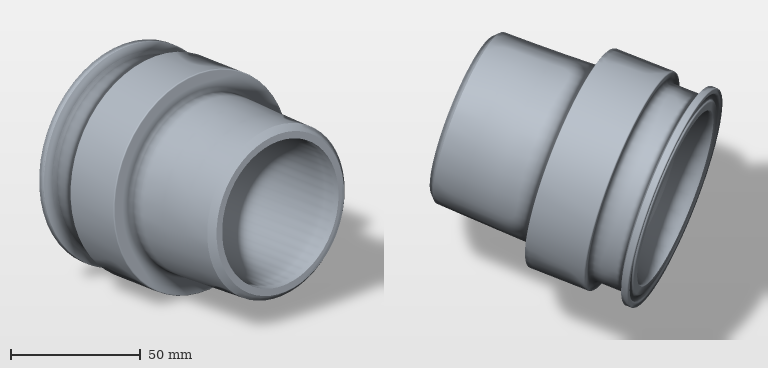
import cadquery as cq
import math

total_length = 88.9
collar_start = 18.1
collar_end = 43.5
taper_start = 48.9

outer_radius = 45.5
ferrule_neck_radius = 81.9 / 2
male_neck_radius = 73.5 / 2
bore_radius = 60.2 / 2
bore_mouth_radius = 36.5

rim_width = 2.8
flange_slope_angle = 20.0
flange_edge_round = 0.4
flange_root_round = 1.55

collar_edge_round = 0.5
collar_root_fillet = 1.55

taper_ratio = 1 / 16
end_chamfer = 2.55

cone_length = 12.3
cone_blend_radius = 5.9

groove_center_radius = 41.7
groove_half_width = 2.0
groove_depth = 1.1
groove_lip_round = 0.8

match_tolerance = 0.01


def revolve_about_x(profile):
    return profile.close().revolve(360, (0, 0, 0), (1, 0, 0))


def circle_edges(body, x, radius):
    """Circular edges of the given radius lying at the given X."""
    return body.edges("%CIRCLE").filter(
        lambda edge: abs(edge.Center().x - x) < match_tolerance
        and abs(edge.radius() - radius) < match_tolerance
    )


def outer_body():
    slope_drop = outer_radius - ferrule_neck_radius
    slope_end = rim_width + slope_drop * math.tan(math.radians(flange_slope_angle))
    chamfer_start = total_length - end_chamfer
    taper_end_radius = male_neck_radius - (chamfer_start - taper_start) * taper_ratio / 2
    body = revolve_about_x(
        cq.Workplane("XY")
        .lineTo(0, outer_radius)
        .lineTo(rim_width, outer_radius)
        .lineTo(slope_end, ferrule_neck_radius)
        .lineTo(collar_start, ferrule_neck_radius)
        .lineTo(collar_start, outer_radius)
        .lineTo(collar_end, outer_radius)
        .lineTo(collar_end, male_neck_radius)
        .lineTo(taper_start, male_neck_radius)
        .lineTo(chamfer_start, taper_end_radius)
        .lineTo(total_length, taper_end_radius - end_chamfer)
        .lineTo(total_length, 0)
    )
    rounds = [
        (0, outer_radius, flange_edge_round),
        (rim_width, outer_radius, flange_edge_round),
        (slope_end, ferrule_neck_radius, flange_root_round),
        (collar_start, ferrule_neck_radius, collar_root_fillet),
        (collar_start, outer_radius, collar_edge_round),
        (collar_end, outer_radius, collar_edge_round),
        (collar_end, male_neck_radius, collar_root_fillet),
    ]
    for x, radius, round_radius in rounds:
        body = circle_edges(body, x, radius).fillet(round_radius)
    return body


def bore():
    cutter = revolve_about_x(
        cq.Workplane("XY")
        .lineTo(0, bore_mouth_radius)
        .lineTo(cone_length, bore_radius)
        .lineTo(total_length, bore_radius)
        .lineTo(total_length, 0)
    )
    return circle_edges(cutter, cone_length, bore_radius).fillet(cone_blend_radius)


def gasket_groove():
    center_distance = (groove_depth**2 + groove_half_width**2) / (2 * groove_depth)
    floor_radius = center_distance - groove_lip_round
    floor_center_x = groove_depth - floor_radius
    contact_offset = groove_half_width * floor_radius / center_distance
    contact_x = floor_center_x + math.sqrt(floor_radius**2 - contact_offset**2)
    return revolve_about_x(
        cq.Workplane("XY")
        .moveTo(0, groove_center_radius - groove_half_width)
        .radiusArc((contact_x, groove_center_radius - contact_offset), groove_lip_round)
        .threePointArc(
            (groove_depth, groove_center_radius),
            (contact_x, groove_center_radius + contact_offset),
        )
        .radiusArc((0, groove_center_radius + groove_half_width), groove_lip_round)
    )


result = outer_body().cut(bore()).cut(gasket_groove())